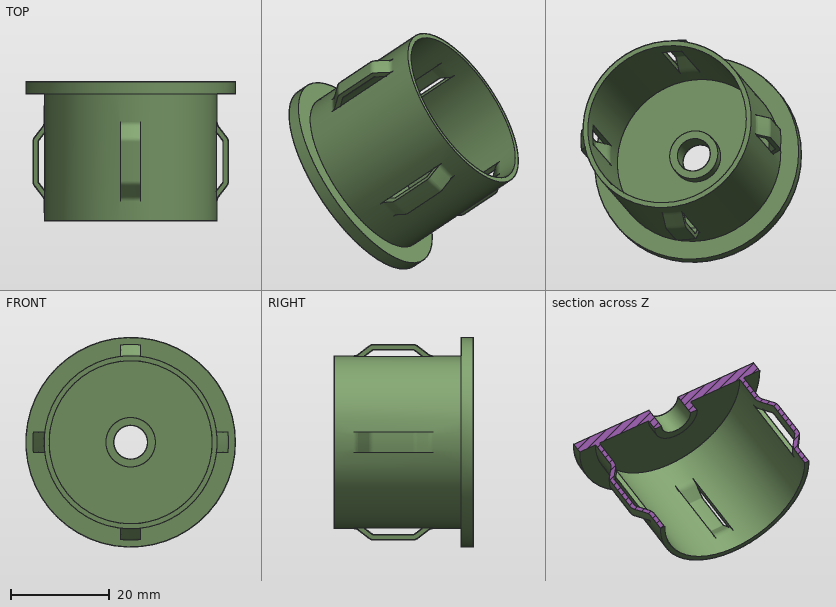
import cadquery as cq
import math

flange_diameter = 42.4
flange_thickness = 2.5
total_length = 28.2
tube_diameter = 35.0
wall = 1.0

hole_diameter = 6.8
collar_diameter = 10.0
collar_height = flange_thickness

strap_count = 4
strap_width = 4.05
strap_rise = 2.3
strap_center_y = 12.0
crest_length = 8.0
bend_radius = 1.5
bend_angle = math.radians(37.5)

tube_radius = tube_diameter / 2
floor_y = total_length - flange_thickness
crest_radius = tube_radius + strap_rise

bend_run = bend_radius * math.sin(bend_angle)
bend_rise = bend_radius * (1 - math.cos(bend_angle))
ramp_run = (strap_rise - 2 * bend_rise) / math.tan(bend_angle)
half_crest = crest_length / 2
half_strap = half_crest + 2 * bend_run + ramp_run


def cylinder(diameter, start_y, length):
    """Cylinder along +Y starting at start_y."""
    return cq.Workplane("XZ", origin=(0, start_y, 0)).circle(diameter / 2).extrude(-length)


def bend_points(depth, side):
    """Points along one ramp of the strap at a depth below its outer surface, from crest to foot.

    They are (radius, y) pairs: start, middle and end of the crest bend, then of the foot bend.
    The side is +1 or -1 for the ramp toward +Y or -Y.
    """
    crest_bend_radius = bend_radius - depth
    foot_bend_radius = bend_radius + depth
    crest_bend_center = crest_radius - bend_radius
    foot_bend_center = tube_radius + bend_radius
    points = []
    for angle in (0, bend_angle / 2, bend_angle):
        radius = crest_bend_center + crest_bend_radius * math.cos(angle)
        reach = half_crest + crest_bend_radius * math.sin(angle)
        points.append((radius, strap_center_y + side * reach))
    for angle in (bend_angle, bend_angle / 2, 0):
        radius = foot_bend_center - foot_bend_radius * math.cos(angle)
        reach = half_strap - foot_bend_radius * math.sin(angle)
        points.append((radius, strap_center_y + side * reach))
    return points


def add_ramp(profile, points):
    """Continue the profile along a ramp: bend, straight, bend."""
    return (
        profile.lineTo(*points[0])
        .threePointArc(points[1], points[2])
        .lineTo(*points[3])
        .threePointArc(points[4], points[5])
    )


def make_strap_ring():
    """The bent wall section turned all the way round the Y axis."""
    profile = cq.Workplane("XY").moveTo(tube_radius - wall, strap_center_y - half_strap)
    profile = add_ramp(profile, bend_points(0, -1)[::-1])
    profile = add_ramp(profile, bend_points(0, 1))
    profile = add_ramp(profile, bend_points(wall, 1)[::-1])
    profile = add_ramp(profile, bend_points(wall, -1))
    return profile.close().revolve(360, (0, 0, 0), (0, 1, 0))


def make_strap_window():
    """Box that reaches from the axis out past one strap, as long and as wide as the strap."""
    return (
        cq.Workplane("XY", origin=(0, strap_center_y, 0))
        .box(flange_diameter / 2, 2 * half_strap, strap_width, centered=(False, True, True))
    )


tube = cylinder(tube_diameter, 0, floor_y).cut(cylinder(tube_diameter - 2 * wall, 0, floor_y))
flange = cylinder(flange_diameter, floor_y, flange_thickness)
collar = cylinder(collar_diameter, floor_y - collar_height, collar_height)
hole = cylinder(hole_diameter, 0, total_length)
result = tube.union(flange).union(collar).cut(hole)

window = make_strap_window()
strap = make_strap_ring().intersect(window)
for index in range(strap_count):
    angle = index * 360 / strap_count
    result = result.cut(window.rotate((0, 0, 0), (0, 1, 0), angle))
    result = result.union(strap.rotate((0, 0, 0), (0, 1, 0), angle))